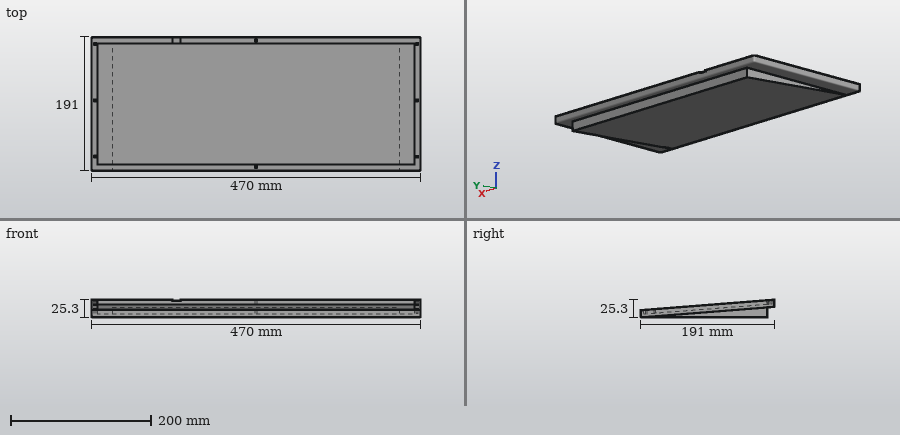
import cadquery as cq
import math

tilt = math.radians(4.5)
slope = math.tan(tilt)
tray_width = 470.0
tray_length = 190.99
overall_height = 25.32
corner_radius = 3.0
bottom_radius = 2.0
ground_z = bottom_radius * (slope + 1 / math.cos(tilt) - 1)
wall_height = overall_height + ground_z - tray_length * slope

rim_width = 9.0
pocket_depth = 6.0

hole_diameter = 2.5
hole_depth = 6.0
hole_inset = 5.25
front_hole_setback = 20.0
rear_hole_setback = 10.0

notch_left = 115.5
notch_width = 12.0
notch_depth = 1.5

foot_side_inset = 30.0
foot_rear_inset = 10.0


def sloping_slab(x_min, x_max, y_min, y_max, lower, upper):
    """Block with vertical sides whose bottom and top lie at heights above the sloping underside."""
    corners = [
        (y_min, y_min * slope + lower),
        (y_max, y_max * slope + lower),
        (y_max, y_max * slope + upper),
        (y_min, y_min * slope + upper),
    ]
    return cq.Workplane("YZ", origin=(x_min, 0, 0)).polyline(corners).close().extrude(x_max - x_min)


def make_tray():
    """Sloping plate with rounded corners, a rounded bottom edge and a pocket in the top."""
    half_width = tray_width / 2
    underside_centre = (0, tray_length / 2, slope * tray_length / 2)
    plate = (
        sloping_slab(-half_width, half_width, 0, tray_length, 0, wall_height)
        .edges("|Z")
        .fillet(corner_radius)
        .faces(cq.NearestToPointSelector(underside_centre))
        .edges()
        .fillet(bottom_radius)
    )
    pocket = sloping_slab(
        rim_width - half_width,
        half_width - rim_width,
        rim_width,
        tray_length - rim_width,
        wall_height - pocket_depth,
        wall_height,
    )
    return plate.cut(pocket)


def make_screw_holes():
    """Cutters for the blind holes square to the rim: three per side, one front, one rear."""
    side_x = tray_width / 2 - hole_inset
    front_y = front_hole_setback
    rear_y = tray_length - rear_hole_setback
    points = [(0, hole_inset), (0, tray_length - hole_inset)]
    for x in (-side_x, side_x):
        for y in (front_y, (front_y + rear_y) / 2, rear_y):
            points.append((x, y))
    axis = cq.Vector(0, -math.sin(tilt), math.cos(tilt))
    cutters = cq.Workplane("XY")
    for x, y in points:
        mouth = cq.Vector(x, y, wall_height + y * slope)
        hole = cq.Solid.makeCylinder(hole_diameter / 2, 2 * hole_depth, mouth - axis * hole_depth, axis)
        cutters = cutters.add(hole)
    return cutters.combine()


def make_notch():
    """Cutter for the shallow notch, whose floor runs parallel to the rim."""
    left_x = notch_left - tray_width / 2
    return sloping_slab(
        left_x,
        left_x + notch_width,
        tray_length - rim_width,
        tray_length,
        wall_height - notch_depth,
        wall_height,
    )


def make_foot():
    """Wedge that fills the space between the ground and the sloping underside."""
    front_y = bottom_radius
    rear_y = tray_length - foot_rear_inset
    foot_width = tray_width - 2 * foot_side_inset
    return (
        cq.Workplane("YZ", origin=(-foot_width / 2, 0, 0))
        .polyline([(front_y, ground_z), (rear_y, ground_z), (rear_y, rear_y * slope)])
        .close()
        .extrude(foot_width)
    )


result = make_tray().cut(make_screw_holes()).cut(make_notch()).union(make_foot())